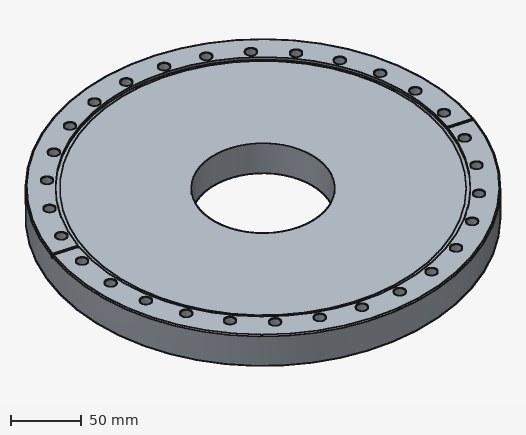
import cadquery as cq
import math

outer_diameter = 336.5
thickness = 28.5
rim_chamfer = 1.0
bore_diameter = 101.5

recess_diameter = 293.8
knife_diameter = 287.8
knife_depth = 1.18
knife_angle = 20

bolt_count = 30
bolt_hole_diameter = 8.5
bolt_hole_chamfer = 0.5
bolt_circle_diameter = 306.3
bolt_pitch = 360 / bolt_count

groove_width = 1.7
groove_depth = 2.5
groove_angles = [90 - bolt_pitch / 2, 270 - bolt_pitch / 2]


def flange_disc():
    disc = cq.Workplane("XY").circle(outer_diameter / 2).extrude(thickness)
    disc = disc.faces("<Z or >Z").edges().chamfer(rim_chamfer)
    return disc.faces(">Z").workplane().hole(bore_diameter)


def seal_recess():
    wall_radius = recess_diameter / 2
    knife_radius = knife_diameter / 2
    knife_level = thickness - knife_depth
    slope_drop = (wall_radius - knife_radius) * math.tan(math.radians(knife_angle))
    return (
        cq.Workplane("XZ")
        .moveTo(0, thickness)
        .lineTo(wall_radius, thickness)
        .lineTo(wall_radius, knife_level - slope_drop)
        .lineTo(knife_radius, knife_level)
        .lineTo(0, knife_level)
        .close()
        .revolve(360, (0, 0, 0), (0, 1, 0))
    )


def bolt_holes():
    """Cutters for the through holes, widened by a small chamfer at the top face."""
    radius = bolt_hole_diameter / 2
    cutter = (
        cq.Workplane("XZ")
        .lineTo(radius, 0)
        .lineTo(radius, thickness - bolt_hole_chamfer)
        .lineTo(radius + bolt_hole_chamfer, thickness)
        .lineTo(0, thickness)
        .close()
        .revolve(360, (0, 0, 0), (0, 1, 0))
        .val()
    )
    return (
        cq.Workplane("XY")
        .polarArray(bolt_circle_diameter / 2, 90, 360, bolt_count)
        .eachpoint(lambda place: cutter.moved(place))
    )


def leak_check_groove(angle):
    """Cutter for a radial groove running from the recess wall out through the rim."""
    start = math.sqrt((recess_diameter / 2) ** 2 - (groove_width / 2) ** 2)
    length = outer_diameter / 2 - start
    return (
        cq.Workplane("XY", origin=(start, 0, thickness - groove_depth))
        .box(length, groove_width, groove_depth, centered=(False, True, False))
        .rotate((0, 0, 0), (0, 0, 1), angle)
    )


result = flange_disc().cut(seal_recess()).cut(bolt_holes())
for groove_angle in groove_angles:
    result = result.cut(leak_check_groove(groove_angle))